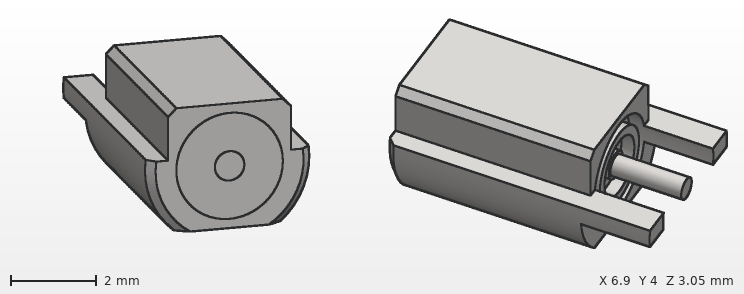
import cadquery as cq
import math

length = 6.9
barrel_radius = 2.0
height = 3.05

leg_length = 1.8
leg_top = 0.26
leg_bottom = -0.24
block_width = 2.995
end_chamfer = 0.2
bore_radius = 1.3

lip_outer_radius = 1.015
lip_inner_radius = 0.77
lip_length = 0.4
pocket_depth = 0.34
collar_radius = 0.36
collar_recess = 0.1
pin_radius = 0.275
pin_tip_x = 0.05

front_x = leg_length
body_length = length - front_x
shoulder_x = front_x + lip_length
pocket_floor_x = front_x + pocket_depth
collar_x = front_x + collar_recess
half_block = block_width / 2
half_height = height / 2


def cylinder(radius, start_x, end_x):
    """Cylinder on the connector axis between two X positions."""
    return cq.Workplane("YZ", origin=(start_x, 0, 0)).circle(radius).extrude(end_x - start_x)


def slab(start_x, end_x, width, bottom, top):
    """Box centred on Y = 0."""
    size = (end_x - start_x, width, top - bottom)
    return cq.Workplane("XY").box(*size, centered=(False, True, False)).translate((start_x, 0, bottom))


def make_lower_barrel():
    """Rounded lower half with a flat underside and a chamfered rear edge."""
    barrel = cylinder(barrel_radius, front_x, length).faces(">X").chamfer(end_chamfer)
    return barrel.intersect(slab(front_x, length, 2 * barrel_radius, -half_height, leg_top))


def make_upper_block():
    """Narrow upper block whose long top edges are bevelled where they meet the barrel radius."""
    bevel_y = math.sqrt(barrel_radius**2 - half_height**2)
    bevel_z = math.sqrt(barrel_radius**2 - half_block**2)
    outline = [
        (-half_block, 0),
        (half_block, 0),
        (half_block, bevel_z),
        (bevel_y, half_height),
        (-bevel_y, half_height),
        (-half_block, bevel_z),
    ]
    return cq.Workplane("YZ", origin=(front_x, 0, 0)).polyline(outline).close().extrude(body_length)


def make_legs():
    """Two solder legs, round outside and hollowed to the bore radius inside."""
    ring = cylinder(barrel_radius, 0, front_x).cut(cylinder(bore_radius, 0, front_x))
    return ring.intersect(slab(0, front_x, 2 * barrel_radius, leg_bottom, leg_top))


def make_housing():
    """Body with legs and a plain through bore."""
    body = make_lower_barrel().union(make_upper_block()).union(make_legs())
    return body.cut(cylinder(bore_radius, front_x, length))


def make_insulator():
    """Sleeve filling the bore around the pin collar, with a ring-shaped lip at the front."""
    sleeve = cylinder(bore_radius, shoulder_x, length)
    lip = cylinder(lip_outer_radius, front_x, shoulder_x)
    pocket = cylinder(lip_inner_radius, front_x, pocket_floor_x)
    return sleeve.union(lip).cut(pocket).cut(cylinder(collar_radius, front_x, length))


def make_pin():
    """Contact pin: slim tail in front, thicker collar held in the insulator."""
    tail = cylinder(pin_radius, pin_tip_x, collar_x)
    return tail.union(cylinder(collar_radius, collar_x, length))


housing = make_housing()
insulator = make_insulator()
pin = make_pin()

result = cq.Compound.makeCompound([*housing.solids().vals(), *insulator.solids().vals(), *pin.solids().vals()])